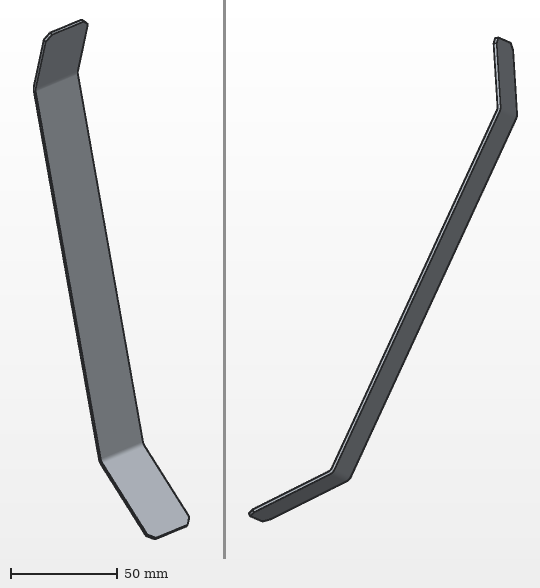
import cadquery as cq
import math

inch = 25.4
thickness = inch / 16
width = inch
inner_bend_radius = inch / 8
outer_bend_radius = inner_bend_radius + thickness
corner_chamfer = inch / 8

upper_tab_length = 34.57
middle_leg_length = 188.09
lower_tab_length = 45.77

upper_tab_slope = 90.0
middle_leg_slope = 60.22
lower_tab_slope = 20.0

lean_angle = 11.29


def move_along(point, slope, distance):
    """Point in the XZ profile reached by going down a slope."""
    slope_radians = math.radians(slope)
    return (
        point[0] + distance * math.cos(slope_radians),
        point[1] - distance * math.sin(slope_radians),
    )


def upper_face_end(point, slope):
    """Point one sheet thickness across from a lower-face point."""
    return move_along(point, slope - 90, thickness)


def upper_face_corner(lower_corner, slope_before, slope_after):
    """Upper-face corner of a mitred bend, given its lower-face corner."""
    setback = thickness * math.tan(math.radians(slope_before - slope_after) / 2)
    return upper_face_end(move_along(lower_corner, slope_after, setback), slope_after)


def round_bend(strip, corner, radius):
    """Round the bend edge running across the strip at a profile corner."""
    selector = cq.selectors.NearestToPointSelector((corner[0], 0, corner[1]))
    return strip.edges("|Y").edges(selector).fillet(radius)


def make_bent_strip():
    """Three straight legs of constant thickness joined by two rounded bends."""
    upper_bend = (0.0, 0.0)
    upper_end = move_along(upper_bend, upper_tab_slope, -upper_tab_length)
    lower_bend = move_along(upper_bend, middle_leg_slope, middle_leg_length)
    lower_end = move_along(lower_bend, lower_tab_slope, lower_tab_length)
    upper_bend_inside = upper_face_corner(upper_bend, upper_tab_slope, middle_leg_slope)
    lower_bend_inside = upper_face_corner(lower_bend, middle_leg_slope, lower_tab_slope)

    outline = [
        upper_end,
        upper_bend,
        lower_bend,
        lower_end,
        upper_face_end(lower_end, lower_tab_slope),
        lower_bend_inside,
        upper_bend_inside,
        upper_face_end(upper_end, upper_tab_slope),
    ]
    strip = cq.Workplane("XZ").polyline(outline).close().extrude(width / 2, both=True)

    for corner in (upper_bend, lower_bend):
        strip = round_bend(strip, corner, outer_bend_radius)
    for corner in (upper_bend_inside, lower_bend_inside):
        strip = round_bend(strip, corner, inner_bend_radius)
    return strip


def chamfer_tab_corners(strip):
    """Cut the two free corners of each tab."""
    for slope in (upper_tab_slope, lower_tab_slope):
        across_x, across_z = upper_face_end((0, 0), slope)
        through_sheet = cq.selectors.ParallelDirSelector(cq.Vector(across_x, 0, across_z))
        strip = strip.edges(through_sheet).chamfer(corner_chamfer)
    return strip


upright_strip = chamfer_tab_corners(make_bent_strip())
result = upright_strip.rotate((0, 0, 0), (1, 0, 0), -lean_angle)